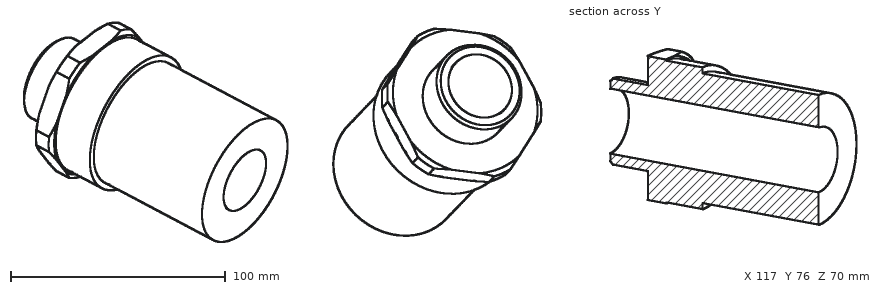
import cadquery as cq
import math

total_length = 117.0
spigot_length = 21.1
hex_width = 10.4
collar_width = 20.5
spigot_start = -total_length / 2
hex_start = spigot_start + spigot_length
collar_start = hex_start + hex_width
tube_start = collar_start + collar_width
tube_length = total_length - spigot_length - hex_width - collar_width

bore_diameter = 31.4
spigot_diameter = 42.0
collar_diameter = 69.0
tube_diameter = 63.2

hex_across_flats = 70.0
hex_corner_diameter = 76.0
hex_face_diameter = 71.4
hex_bevel_angle = 30.0
spigot_chamfer = 1.5


def cylinder(start, length, diameter):
    """Solid cylinder on the X axis, running from start towards +X."""
    return cq.Workplane("YZ", origin=(start, 0, 0)).circle(diameter / 2).extrude(length)


def hex_flange():
    """Hexagon with flats at top and bottom, trimmed by a bevelled disc."""
    across_corners = hex_across_flats / math.cos(math.pi / 6)
    prism = cq.Workplane("YZ", origin=(hex_start, 0, 0)).polygon(6, across_corners).extrude(hex_width)
    bevel_radial = (hex_corner_diameter - hex_face_diameter) / 2
    bevel_axial = bevel_radial * math.tan(math.radians(hex_bevel_angle))
    corner_radius = hex_corner_diameter / 2
    face_radius = hex_face_diameter / 2
    bevelled_disc = (
        cq.Workplane("XY")
        .moveTo(hex_start, 0)
        .lineTo(hex_start, face_radius)
        .lineTo(hex_start + bevel_axial, corner_radius)
        .lineTo(collar_start - bevel_axial, corner_radius)
        .lineTo(collar_start, face_radius)
        .lineTo(collar_start, 0)
        .close()
        .revolve(360, (0, 0, 0), (1, 0, 0))
    )
    return prism.intersect(bevelled_disc)


spigot = cylinder(spigot_start, spigot_length, spigot_diameter).faces("<X").chamfer(spigot_chamfer)
collar = cylinder(collar_start, collar_width, collar_diameter)
tube = cylinder(tube_start, tube_length, tube_diameter)
bore = cylinder(spigot_start, total_length, bore_diameter)

result = spigot.union(hex_flange()).union(collar).union(tube).cut(bore)